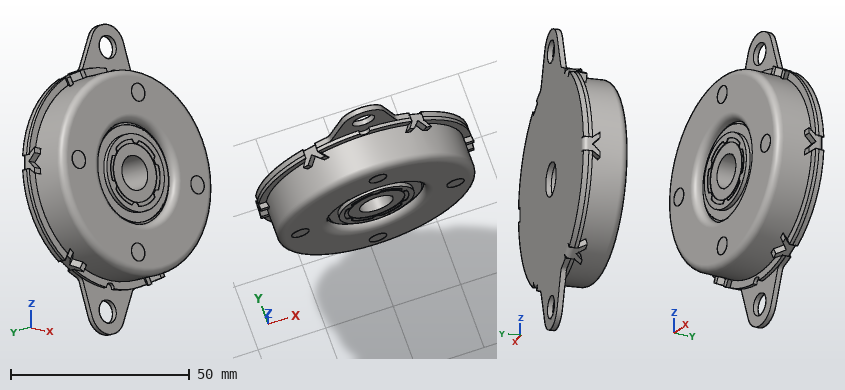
import cadquery as cq
import math

overall_depth = 14.0
overall_height = 89.0

plate_radius = 31.5
plate_thickness = 1.6
ear_end_radius = 6.5
ear_hole_radius = 3.3
ear_taper = math.radians(20)
ear_root_angle = math.radians(20)
ear_root_fillet = 2.0
ear_centre_z = overall_height / 2 - ear_end_radius

tab_count = 6
tab_width = 4.1
tab_flared_width = 7.4
tab_notch_width = 4.3
tab_front = 4.9

flange_thickness = 1.1
flange_front = plate_thickness + flange_thickness
cup_radius = 29.3
cup_edge_radius = 2.05
flange_notch_radius = 1.5
spot_count = 4
spot_radius = 2.6
spot_circle_radius = 23.0
spot_depth = 0.1

lip_opening_radius = 14.5
lip_edge_radius = 2.05
floor_radius = 13.9
floor_front = overall_depth - 2.3
groove_depth = 0.45
hub_radius = 11.1
hub_front = overall_depth - 1.1
bore_radius = 5.0

shaft_radius = 8.4
shaft_end_front = hub_front - 0.4
recess_depth = 0.2
recess_outer_radius = 9.5
tooth_count = 6
tooth_tip_radius = 8.5
tooth_root_width = 2.85
tooth_tip_width = 1.25


def at_depth(depth):
    """Workplane facing -Y, at the given depth in front of the back face."""
    return cq.Workplane("XZ", origin=(0, -depth, 0))


def disc(radius, back, front):
    """Disc on the Y axis between two depths."""
    return at_depth(back).circle(radius).extrude(front - back)


def turn(shape, index, count):
    """Copy of a shape turned about Y to one of `count` equally spaced places."""
    return shape.rotate((0, 0, 0), (0, 1, 0), index * 360 / count)


def make_ear():
    """Tapered upper ear with a round end, reaching down to the rim."""
    tangent_x = ear_end_radius * math.cos(ear_taper)
    tangent_z = ear_centre_z + ear_end_radius * math.sin(ear_taper)
    root_z = plate_radius * math.cos(ear_root_angle)
    root_x = tangent_x + (tangent_z - root_z) * math.tan(ear_taper)
    return (
        at_depth(0)
        .moveTo(-root_x, root_z)
        .lineTo(-tangent_x, tangent_z)
        .threePointArc((0, ear_centre_z + ear_end_radius), (tangent_x, tangent_z))
        .lineTo(root_x, root_z)
        .close()
        .extrude(plate_thickness)
    )


def make_eared_disc():
    """Flat plate with its two drilled ears blended into the rim."""
    plate = disc(plate_radius, 0, plate_thickness)
    ear = make_ear()
    for index in range(2):
        plate = plate.union(turn(ear, index, 2))
    rim_zone = cq.selectors.BoxSelector(
        (-plate_radius, -plate_thickness, -plate_radius),
        (plate_radius, 0, plate_radius),
    )
    plate = plate.edges("|Y").edges(rim_zone).fillet(ear_root_fillet)
    ear_holes = (
        at_depth(0)
        .pushPoints([(0, ear_centre_z), (0, -ear_centre_z)])
        .circle(ear_hole_radius)
        .extrude(plate_thickness)
    )
    return plate.cut(ear_holes)


def make_tab():
    """Tab on the +X side, bent forward over the flange and split into two flared prongs."""
    half_root = tab_width / 2
    half_tip = tab_flared_width / 2
    half_notch = tab_notch_width / 2
    start_x = cup_radius - half_root
    blade = (
        cq.Workplane("YZ", origin=(start_x, 0, 0))
        .moveTo(0, -half_root)
        .lineTo(-flange_front, -half_root)
        .lineTo(-tab_front, -half_tip)
        .lineTo(-tab_front, -half_notch)
        .lineTo(-flange_front, 0)
        .lineTo(-tab_front, half_notch)
        .lineTo(-tab_front, half_tip)
        .lineTo(-flange_front, half_root)
        .lineTo(0, half_root)
        .close()
        .extrude(plate_radius - start_x)
    )
    blade = blade.edges("|Z and >X and >Y").fillet(plate_thickness)
    return blade.cut(disc(cup_radius, 0, tab_front))


def make_tab_slot():
    """Rim material on the +X side that gives way to a tab."""
    band = disc(plate_radius, 0, flange_front).cut(disc(cup_radius, 0, flange_front))
    strip = cq.Workplane("YZ").rect(2 * flange_front, tab_width).extrude(plate_radius)
    return band.intersect(strip)


def make_bore():
    """Hole through both bodies."""
    return disc(bore_radius, 0, overall_depth)


def make_plate():
    plate = make_eared_disc()
    slot = make_tab_slot()
    tab = make_tab()
    for index in range(tab_count):
        plate = plate.cut(turn(slot, index, tab_count))
        plate = plate.union(turn(tab, index, tab_count))
    return plate.cut(make_bore())


def make_flange():
    """Flange with half-round notches at top and bottom and a slot for each tab."""
    flange = disc(plate_radius, plate_thickness, flange_front)
    notches = (
        at_depth(plate_thickness)
        .pushPoints([(0, plate_radius), (0, -plate_radius)])
        .circle(flange_notch_radius)
        .extrude(flange_thickness)
    )
    flange = flange.cut(notches)
    slot = make_tab_slot()
    for index in range(tab_count):
        flange = flange.cut(turn(slot, index, tab_count))
    return flange


def make_cup():
    """Cup with rounded outer and inner front edges and shallow round marks on its face."""
    cup = disc(cup_radius, plate_thickness, overall_depth)
    cup = cup.faces("<Y").edges().fillet(cup_edge_radius)
    cup = cup.cut(disc(lip_opening_radius, floor_front - groove_depth, overall_depth))
    lip_edge = cq.selectors.RadiusNthSelector(0)
    cup = cup.faces("<Y").edges(lip_edge).fillet(lip_edge_radius)
    spots = (
        at_depth(overall_depth - spot_depth)
        .polarArray(spot_circle_radius, 0, 360, spot_count)
        .circle(spot_radius)
        .extrude(spot_depth)
    )
    return cup.cut(spots)


def make_hub_recess():
    """Shallow ring in the hub face, narrowed by inward-pointing tapered teeth."""
    recess_floor = hub_front - recess_depth
    ring = disc(recess_outer_radius, recess_floor, hub_front)
    ring = ring.cut(disc(shaft_radius, recess_floor, hub_front))
    half_root = tooth_root_width / 2
    half_tip = tooth_tip_width / 2
    tooth = (
        at_depth(recess_floor)
        .moveTo(-half_tip, tooth_tip_radius)
        .lineTo(-half_root, recess_outer_radius)
        .lineTo(half_root, recess_outer_radius)
        .lineTo(half_tip, tooth_tip_radius)
        .close()
        .extrude(recess_depth)
    )
    for index in range(tooth_count):
        ring = ring.cut(turn(tooth, index, tooth_count))
    return ring


def make_body():
    floor = disc(floor_radius, plate_thickness, floor_front)
    hub = disc(hub_radius, plate_thickness, hub_front)
    body = make_cup().union(make_flange()).union(floor).union(hub)
    shaft_pocket = disc(shaft_radius, shaft_end_front, hub_front)
    return body.cut(shaft_pocket).cut(make_hub_recess()).cut(make_bore())


plate = make_plate()
body = make_body()
result = cq.Compound.makeCompound([plate.solids().val(), body.solids().val()])